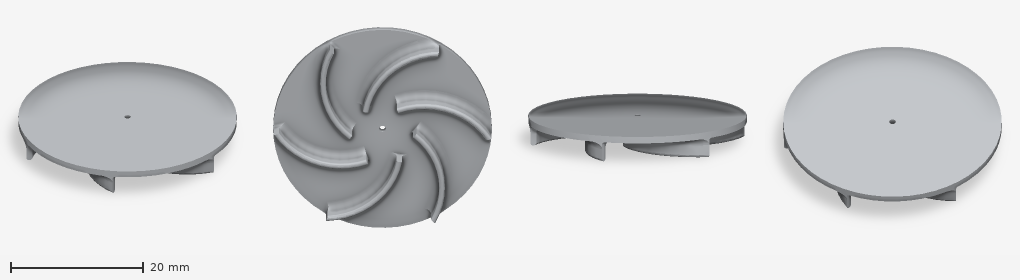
import cadquery as cq
import math

disc_diameter = 33
disc_thickness = 1.0
hole_diameter = 1.0
total_height = 4.0

vane_count = 6
vane_axis_x = -3.33
vane_axis_y = -8.45
vane_outer_radius = 11.98
vane_thickness = 0.85
vane_start_angle = 92
vane_tip_angle = 170.6
tip_face_angle = 8.7
sweep_beyond_tip = 15
root_fillet = 1.1
tip_root_fillet = 0.4
edge_fillet = 0.4
trim_margin = 3.3

vane_height = total_height - disc_thickness
vane_inner_radius = vane_outer_radius - vane_thickness
arc_inset_ratio = 1 - math.sqrt(0.5)


def make_blank():
    """Oversized disc with its underside at Z = 0; its rim is trimmed later."""
    return cq.Workplane("XY").circle(disc_diameter / 2 + trim_margin).extrude(disc_thickness)


def make_long_vane():
    """Hanging vane with rounded free edges and concave root fillets, longer than needed."""
    inner = vane_inner_radius
    outer = vane_outer_radius
    root_inset = root_fillet * arc_inset_ratio
    edge_inset = edge_fillet * arc_inset_ratio
    bottom = -vane_height
    section = (
        cq.Workplane("XZ")
        .moveTo(inner + edge_fillet, bottom)
        .lineTo(outer - edge_fillet, bottom)
        .threePointArc((outer - edge_inset, bottom + edge_inset), (outer, bottom + edge_fillet))
        .lineTo(outer, -root_fillet)
        .threePointArc((outer + root_inset, -root_inset), (outer + root_fillet, 0))
        .lineTo(outer + root_fillet, disc_thickness / 2)
        .lineTo(inner - root_fillet, disc_thickness / 2)
        .lineTo(inner - root_fillet, 0)
        .threePointArc((inner - root_inset, -root_inset), (inner, -root_fillet))
        .lineTo(inner, bottom + edge_fillet)
        .threePointArc((inner + edge_inset, bottom + edge_inset), (inner + edge_fillet, bottom))
        .close()
    )
    sweep_angle = vane_tip_angle + sweep_beyond_tip - vane_start_angle
    vane = section.revolve(sweep_angle, (0, 0, 0), (0, 1, 0))
    vane = vane.rotate((0, 0, 0), (0, 0, 1), vane_start_angle)
    return vane.translate((vane_axis_x, vane_axis_y, 0))


def make_tip_cutter():
    """Block that cuts the vane tip flat, leaving a small fillet under the disc."""
    tip_angle = math.radians(vane_tip_angle)
    face_angle = math.radians(tip_face_angle)
    tip_plane = cq.Plane(
        origin=(
            vane_axis_x + vane_outer_radius * math.cos(tip_angle),
            vane_axis_y + vane_outer_radius * math.sin(tip_angle),
            0,
        ),
        xDir=(math.sin(face_angle), -math.cos(face_angle), 0),
        normal=(-math.cos(face_angle), -math.sin(face_angle), 0),
    )
    inset = tip_root_fillet * arc_inset_ratio
    depth = vane_height + trim_margin
    reach = 2 * trim_margin
    return (
        cq.Workplane(tip_plane)
        .moveTo(0, -depth)
        .lineTo(0, -tip_root_fillet)
        .threePointArc((inset, -inset), (tip_root_fillet, 0))
        .lineTo(reach, 0)
        .lineTo(reach, -depth)
        .close()
        .extrude(trim_margin, both=True)
    )


def make_rim_envelope():
    """Cylinder that trims the disc and the vane roots to one flush rim."""
    return (
        cq.Workplane("XY")
        .workplane(offset=-vane_height)
        .circle(disc_diameter / 2)
        .extrude(total_height)
    )


vane = make_long_vane().cut(make_tip_cutter())
result = make_blank()
for index in range(vane_count):
    turn = index * 360 / vane_count
    result = result.union(vane.rotate((0, 0, 0), (0, 0, 1), turn))

result = result.intersect(make_rim_envelope())
center_hole = cq.Workplane("XY").circle(hole_diameter / 2).extrude(disc_thickness)
result = result.cut(center_hole)